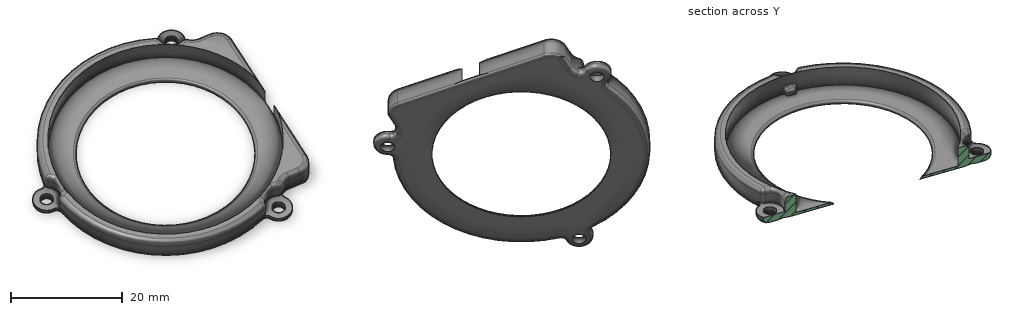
import cadquery as cq
import math

height = 4.5
ring_radius = 23.0
cavity_radius = 21.07
opening_radius = 16.0
floor_thickness = 0.6
opening_round = 0.5
edge_round = 1.0

tab_half_width = 17.5
tab_back = 21.0
tab_corner_radius = 3.0
tab_bottom_round = 0.5

front_lug_angle = -90
right_lug_angle = 30
left_lug_angle = 150
lug_angles = (front_lug_angle, right_lug_angle, left_lug_angle)
lug_circle_radius = 24.0
lug_radius = 2.5
lug_thickness = 1.5
lug_hole_diameter = 2.4
lug_blend_radius = 1.0
notch_corner_radius = 1.0

nub_width = 2.0
nub_tip_radius = 20.0
nub_height = 1.2
nub_round = 0.5
nub_embed = 0.2

tolerance = 0.001


def polar(radius, angle):
    """Point at a radius and an angle in degrees about the part axis."""
    return (radius * math.cos(math.radians(angle)), radius * math.sin(math.radians(angle)))


def toward(start, end, distance):
    """Point at a distance from start on the way to end."""
    ratio = distance / math.dist(start, end)
    return (start[0] + ratio * (end[0] - start[0]), start[1] + ratio * (end[1] - start[1]))


def blend_half_angle(offset):
    """Angle from a lug to its corner blend centre; offset > 0 puts the centre outside the ring."""
    centre_distance = ring_radius + offset
    lug_distance = lug_radius + abs(offset)
    cosine = (lug_circle_radius**2 + centre_distance**2 - lug_distance**2) / (
        2 * lug_circle_radius * centre_distance
    )
    return math.degrees(math.acos(cosine))


def arc_about(path, centre, start, end, radius):
    """Add the short arc from start to end about a centre."""
    middle = ((start[0] + end[0]) / 2, (start[1] + end[1]) / 2)
    return path.threePointArc(toward(centre, middle, radius), end)


def add_lug(path, angle, offset):
    """Add a blended lug (offset > 0) or notch (offset < 0), counterclockwise about the part axis."""
    half_angle = blend_half_angle(offset)
    blend_radius = abs(offset)
    lug_centre = polar(lug_circle_radius, angle)
    first_centre = polar(ring_radius + offset, angle - half_angle)
    last_centre = polar(ring_radius + offset, angle + half_angle)
    first_on_ring = polar(ring_radius, angle - half_angle)
    last_on_ring = polar(ring_radius, angle + half_angle)
    first_on_lug = toward(lug_centre, first_centre, lug_radius)
    last_on_lug = toward(lug_centre, last_centre, lug_radius)
    lug_middle = polar(lug_circle_radius + math.copysign(lug_radius, offset), angle)

    path = arc_about(path, first_centre, first_on_ring, first_on_lug, blend_radius)
    path = path.threePointArc(lug_middle, last_on_lug)
    return arc_about(path, last_centre, last_on_lug, last_on_ring, blend_radius)


tab_blend_angle = right_lug_angle + blend_half_angle(lug_blend_radius)
tab_blend_cosine = math.cos(math.radians(tab_blend_angle))
tab_blend_radius = (ring_radius * tab_blend_cosine - tab_half_width) / (1 - tab_blend_cosine)


def mirrored(point):
    """The same point on the other side of the symmetry plane."""
    return (-point[0], point[1])


def outline(offset, back):
    """Closed outline with lugs (offset > 0) or notches (offset < 0) and square tab corners at y = back."""
    half_angle = blend_half_angle(offset)
    blend_centre = polar(ring_radius + tab_blend_radius, tab_blend_angle)
    blend_on_ring = polar(ring_radius, tab_blend_angle)
    blend_on_tab = (tab_half_width, blend_centre[1])

    gap_start_angle = right_lug_angle + half_angle
    has_ring_gap = tab_blend_angle - gap_start_angle > tolerance
    gap_start = polar(ring_radius, gap_start_angle)
    gap_middle = polar(ring_radius, (gap_start_angle + tab_blend_angle) / 2)

    outline_start = polar(ring_radius, front_lug_angle - half_angle)
    right_lug_start = polar(ring_radius, right_lug_angle - half_angle)
    ring_right = polar(ring_radius, (front_lug_angle + right_lug_angle) / 2)

    path = cq.Workplane("XY").moveTo(*outline_start)
    path = add_lug(path, front_lug_angle, offset)
    path = path.threePointArc(ring_right, right_lug_start)
    path = add_lug(path, right_lug_angle, offset)
    if has_ring_gap:
        path = path.threePointArc(gap_middle, blend_on_ring)
    path = arc_about(path, blend_centre, blend_on_ring, blend_on_tab, tab_blend_radius)
    path = path.lineTo(tab_half_width, back).lineTo(-tab_half_width, back)
    path = path.lineTo(*mirrored(blend_on_tab))
    path = arc_about(
        path,
        mirrored(blend_centre),
        mirrored(blend_on_tab),
        mirrored(blend_on_ring),
        tab_blend_radius,
    )
    if has_ring_gap:
        path = path.threePointArc(mirrored(gap_middle), mirrored(gap_start))
    path = add_lug(path, left_lug_angle, offset)
    path = path.threePointArc(mirrored(ring_right), outline_start)
    return path.close()


def is_round(edge, radius):
    """True for a circular edge of the given radius."""
    return edge.geomType() == "CIRCLE" and abs(edge.radius() - radius) < tolerance


def slab(back, width):
    """Block as thick as a lug, reaching from y = back forward past the whole part."""
    length = 4 * ring_radius
    block = cq.Workplane("XY").box(width, length, lug_thickness, centered=(True, False, False))
    return block.translate((0, back - length, 0))


def make_base():
    """Bottom layer with the lugs; the tab has a smaller bottom rounding at its back and corners."""
    base = outline(lug_blend_radius, tab_back + tab_corner_radius).extrude(lug_thickness)
    base = base.faces("<Z").edges().fillet(edge_round)

    tab_limit = slab(tab_back, 2 * tab_half_width)
    tab_limit = tab_limit.edges("|Z and >Y").fillet(tab_corner_radius)
    tab_limit = tab_limit.faces("<Z").edges(">Y").fillet(tab_bottom_round)
    ring_limit = slab(tab_back - tab_corner_radius, 4 * ring_radius)
    return base.intersect(tab_limit.union(ring_limit))


def make_floor_layer():
    """Base hollowed down to the floor, with the rounded central opening and the lug holes."""
    cavity = cq.Workplane("XY", origin=(0, 0, floor_thickness)).circle(cavity_radius).extrude(height)
    opening = cq.Workplane("XY").circle(opening_radius).extrude(height)
    layer = make_base().cut(cavity).cut(opening)

    opening_edges = [edge for edge in layer.edges().vals() if is_round(edge, opening_radius)]
    layer = layer.newObject(opening_edges).edges(">Z").fillet(opening_round)

    hole_places = [polar(lug_circle_radius, angle) for angle in lug_angles]
    holes = cq.Workplane("XY").pushPoints(hole_places).circle(lug_hole_diameter / 2).extrude(height)
    return layer.cut(holes)


def make_wall():
    """Upper layer with notches over the lugs, opened by the cavity, rounded on its outer top edges."""
    wall = outline(-notch_corner_radius, tab_back).extrude(height - lug_thickness)
    wall = wall.translate((0, 0, lug_thickness))
    wall = wall.edges("|Z and >Y").fillet(tab_corner_radius)
    wall = wall.cut(cq.Workplane("XY").circle(cavity_radius).extrude(height))

    top_edges = wall.faces(">Z").edges().vals()
    outer_edges = [edge for edge in top_edges if not is_round(edge, cavity_radius)]
    return wall.newObject(outer_edges).fillet(edge_round)


def add_nub(body):
    """Rounded nub on the floor, blended into the inside of the wall behind the front lug."""
    length = cavity_radius - nub_tip_radius + nub_embed
    nub = cq.Workplane("XY").box(nub_width, length, nub_height, centered=(True, False, False))
    nub = nub.edges("|Z and >Y").fillet(nub_round)
    nub = nub.faces(">Z").edges("not <Y").fillet(nub_round)
    nub = nub.translate((0, -cavity_radius - nub_embed, floor_thickness))
    body = body.union(nub)

    root = cq.selectors.BoxSelector(
        (-nub_width, -cavity_radius - nub_embed / 2, floor_thickness + tolerance),
        (nub_width, -cavity_radius + nub_embed / 2, floor_thickness + nub_height + tolerance),
    )
    return body.edges(root).fillet(nub_round)


result = add_nub(make_floor_layer().union(make_wall()))